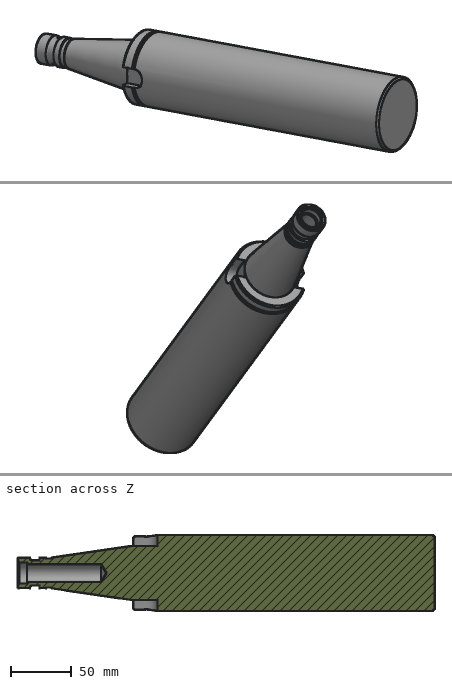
import cadquery as cq
import math

total_length = 343.5
body_diameter = 63.0
body_radius = body_diameter / 2
flange_face_x = 95.0
front_chamfer = 1.5
rear_chamfer = 1.7

groove_start_x = 104.7
groove_width = 2.0
groove_depth = 0.7

taper_radius = 22.3
taper_end_x = 93.5
taper_start_x = 28.5
taper_slope = 7 / 48
taper_small_radius = taper_radius - taper_slope * (taper_end_x - taper_start_x)

pilot_radius = 12.7
pilot_chamfer = 0.7
pilot_end_x = 10.3
retention_radius = 10.5
retention_fillet = 1.5
land_start_x = 18.0
land_end_x = 23.5
relief_radius = 12.0
relief_end_x = 27.5

mouth_chamfer = 1.5
counterbore_radius = 8.5
counterbore_depth = 8.0
bore_radius = 7.2
bore_depth = 68.7
drill_angle = 118.0

slot_width = 16.0
slot_end_x = 115.0
slot_floor_y = taper_radius


def turned_body():
    """Outer profile revolved about X, from the pilot tip to the rear face."""
    groove_end_x = groove_start_x + groove_width
    return (
        cq.Workplane("XY")
        .lineTo(0, pilot_radius - pilot_chamfer)
        .lineTo(pilot_chamfer, pilot_radius)
        .lineTo(pilot_end_x, pilot_radius)
        .lineTo(pilot_end_x, retention_radius + retention_fillet)
        .radiusArc((pilot_end_x + retention_fillet, retention_radius), -retention_fillet)
        .lineTo(land_start_x, retention_radius)
        .lineTo(land_start_x, pilot_radius)
        .lineTo(land_end_x, pilot_radius)
        .lineTo(land_end_x, relief_radius)
        .lineTo(relief_end_x, relief_radius)
        .lineTo(taper_start_x, taper_small_radius)
        .lineTo(taper_end_x, taper_radius)
        .lineTo(flange_face_x, taper_radius)
        .lineTo(flange_face_x, body_radius - front_chamfer)
        .lineTo(flange_face_x + front_chamfer, body_radius)
        .lineTo(groove_start_x, body_radius)
        .lineTo(groove_start_x, body_radius - groove_depth)
        .lineTo(groove_end_x, body_radius - groove_depth)
        .lineTo(groove_end_x, body_radius)
        .lineTo(total_length - rear_chamfer, body_radius)
        .lineTo(total_length, body_radius - rear_chamfer)
        .lineTo(total_length, 0)
        .close()
        .revolve(360, (0, 0, 0), (1, 0, 0))
    )


def drawbar_hole():
    """Blind drilled hole with a conical bottom and a chamfered counterbore."""
    drill_tip = bore_radius / math.tan(math.radians(drill_angle / 2))
    return (
        cq.Workplane("XY")
        .lineTo(0, counterbore_radius + mouth_chamfer)
        .lineTo(mouth_chamfer, counterbore_radius)
        .lineTo(counterbore_depth, counterbore_radius)
        .lineTo(counterbore_depth, bore_radius)
        .lineTo(bore_depth, bore_radius)
        .lineTo(bore_depth + drill_tip, 0)
        .close()
        .revolve(360, (0, 0, 0), (1, 0, 0))
    )


def drive_slot(side):
    """Round-ended slot cutter on the +Y (side = 1) or -Y (side = -1) flank."""
    half_width = slot_width / 2
    round_center_x = slot_end_x - half_width
    return (
        cq.Workplane("XZ", origin=(0, side * slot_floor_y, 0))
        .moveTo(flange_face_x, -half_width)
        .lineTo(round_center_x, -half_width)
        .threePointArc((slot_end_x, 0), (round_center_x, half_width))
        .lineTo(flange_face_x, half_width)
        .close()
        .extrude(-side * body_radius)
    )


result = turned_body().cut(drawbar_hole())
for side in (-1, 1):
    result = result.cut(drive_slot(side))